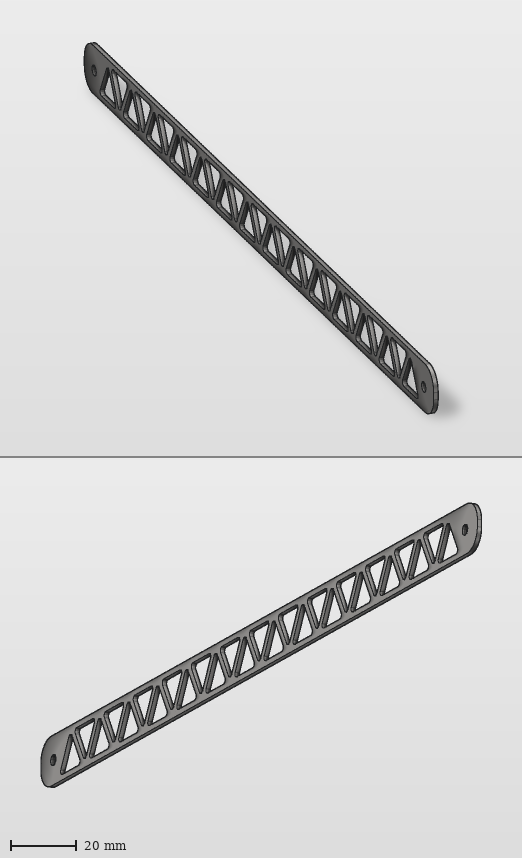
import cadquery as cq

length = 280.0
width = 16.0
thickness = 1.5
end_flat = 2.38
end_corner_radius = (width - end_flat) / 2
hole_diameter = 3.5
hole_inset = width / 2

upright_count = 14
upright_span = 242.2
base_margin = 1.82
apex_margin = 1.76
window_base = 14.0
window_corner_radius = 1.0

window_count = 2 * upright_count - 1
window_spacing = upright_span / (window_count - 1)


def make_strap():
    """Round-cornered strap in the XZ plane, centred on the origin."""
    return (
        cq.Workplane("XZ")
        .rect(length, width)
        .extrude(thickness / 2, both=True)
        .edges("|Y")
        .fillet(end_corner_radius)
    )


def make_end_holes():
    """Cutter for the pair of through holes, one near each end."""
    hole_x = length / 2 - hole_inset
    return (
        cq.Workplane("XZ")
        .pushPoints([(-hole_x, 0), (hole_x, 0)])
        .circle(hole_diameter / 2)
        .extrude(thickness, both=True)
    )


def make_window(center_x, direction):
    """Rounded triangular cutter; direction is 1 for apex up and -1 for apex down."""
    base_z = -direction * (width / 2 - base_margin)
    apex_z = direction * (width / 2 - apex_margin)
    return (
        cq.Workplane("XZ")
        .moveTo(center_x - window_base / 2, base_z)
        .lineTo(center_x + window_base / 2, base_z)
        .lineTo(center_x, apex_z)
        .close()
        .extrude(thickness, both=True)
        .edges("|Y")
        .fillet(window_corner_radius)
    )


result = make_strap().cut(make_end_holes())

for index in range(window_count):
    window_x = -upright_span / 2 + index * window_spacing
    window_direction = 1 if index % 2 == 0 else -1
    result = result.cut(make_window(window_x, window_direction))